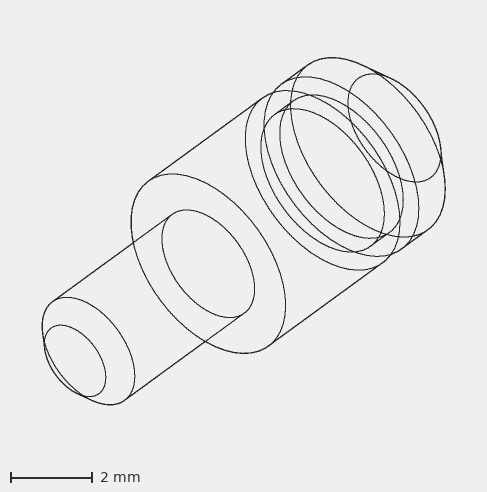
import cadquery as cq

total_length = 12.0
body_diameter = 5.0
pin_diameter = 3.0
pin_length = 5.0
tip_chamfer = 0.5
groove_diameter = 4.0
groove_width = 0.71
head_land_length = 1.0
head_chamfer = 1.0

body_radius = body_diameter / 2
pin_radius = pin_diameter / 2
tip_radius = pin_radius - tip_chamfer
groove_radius = groove_diameter / 2

cone_start = total_length - head_chamfer
groove_end = cone_start - head_land_length
groove_start = groove_end - groove_width

half_section = (
    cq.Workplane("XY")
    .moveTo(0, 0)
    .lineTo(tip_radius, 0)
    .lineTo(pin_radius, tip_chamfer)
    .lineTo(pin_radius, pin_length)
    .lineTo(body_radius, pin_length)
    .lineTo(body_radius, groove_start)
    .lineTo(groove_radius, groove_start)
    .lineTo(groove_radius, groove_end)
    .lineTo(body_radius, groove_end)
    .lineTo(body_radius, cone_start)
    .lineTo(body_radius - head_chamfer, total_length)
    .lineTo(0, total_length)
    .close()
)

result = half_section.revolve(360, (0, 0, 0), (0, 1, 0))